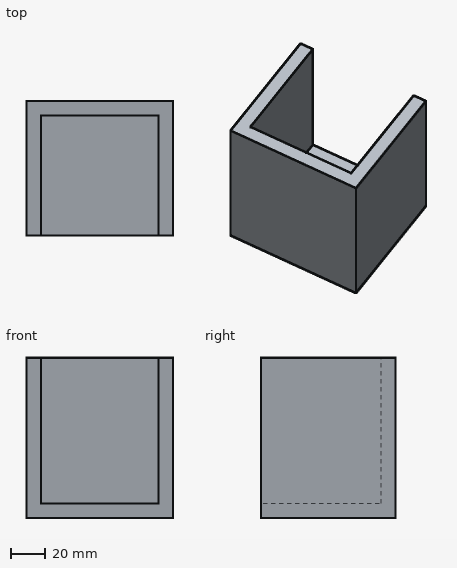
import cadquery as cq

width = 86.0
depth = 79.0
height = 94.0

wall = 8.5

block = cq.Workplane("XY").box(width, depth, height, centered=(True, False, False))

cavity = (
    cq.Workplane("XY")
    .box(width - 2 * wall, depth - wall, height - wall, centered=(True, False, False))
    .translate((0, 0, wall))
)

result = block.cut(cavity)